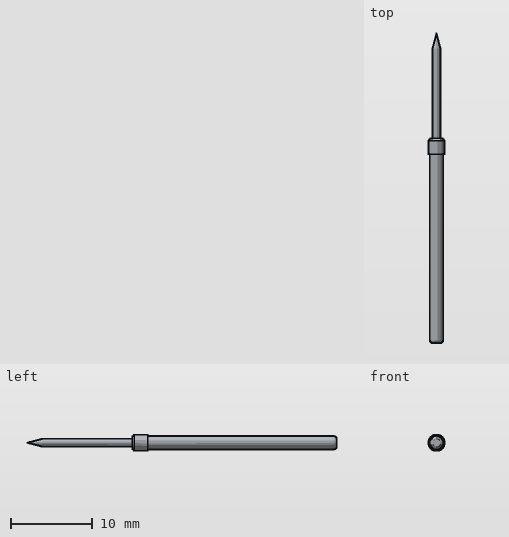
import cadquery as cq
import math


length = 37.8
collar_radius = 1.0

barrel_radius = 0.85
end_round = 0.4

collar_front = 6.1
collar_length = 1.93
collar_chamfer = 0.25

plunger_radius = 0.5
tip_length = 1.85

rear = -length / 2
tip = length / 2
tip_base = tip - tip_length
collar_rear = collar_front - collar_length

round_centre_radius = barrel_radius - end_round
round_mid_offset = end_round * math.sqrt(0.5)
round_mid = (
    round_centre_radius + round_mid_offset,
    rear + end_round - round_mid_offset,
)

profile = (
    cq.Workplane("XY")
    .moveTo(0, rear)
    .lineTo(round_centre_radius, rear)
    .threePointArc(round_mid, (barrel_radius, rear + end_round))
    .lineTo(barrel_radius, collar_rear)
    .lineTo(collar_radius, collar_rear)
    .lineTo(collar_radius, collar_front - collar_chamfer)
    .lineTo(collar_radius - collar_chamfer, collar_front)
    .lineTo(plunger_radius, collar_front)
    .lineTo(plunger_radius, tip_base)
    .lineTo(0, tip)
    .close()
)

result = profile.revolve(360, (0, 0, 0), (0, 1, 0))